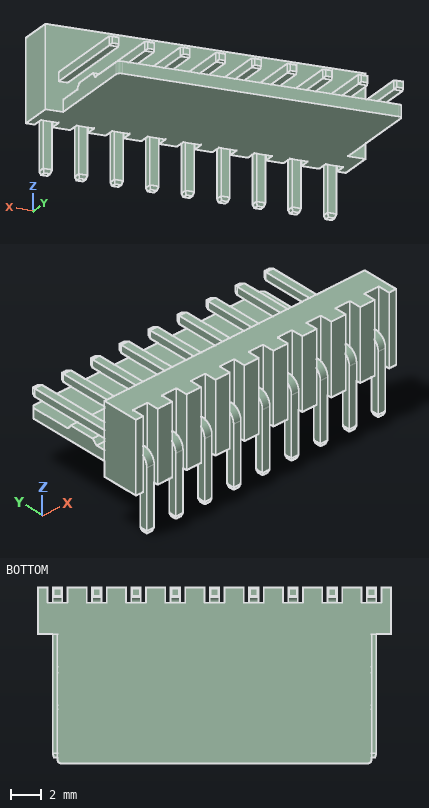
import cadquery as cq
import math

pin_count = 9
housing_length = 22.85
pitch = housing_length / pin_count
housing_depth = 3.02
housing_height = 5.88

groove_width = pitch / 2
groove_depth = 0.98

pin_size = 0.65
pin_axis_height = 2.38
pin_back_y = 11.02
pin_drop = 3.43
bend_outer_radius = 0.94
bend_inner_radius = bend_outer_radius - pin_size
tip_length = 0.27
tip_inset = 0.1

tongue_length = 20.35
tongue_back_y = 11.4
tongue_thickness = 0.85
tongue_corner_radius = 0.3
ridge_top = 1.21
ridge_front_y = 5.15
ridge_back_y = 7.89
ridge_front_run = ridge_top - tongue_thickness
ridge_back_run = 0.27

pin_positions = [(i - (pin_count - 1) / 2) * pitch for i in range(pin_count)]


def make_housing():
    """Upright block with a full-height groove in front of each pin."""
    housing = cq.Workplane("XY").box(
        housing_length, housing_depth, housing_height, centered=(True, False, False)
    )
    grooves = (
        cq.Workplane("XY")
        .pushPoints([(x, groove_depth / 2) for x in pin_positions])
        .rect(groove_width, groove_depth)
        .extrude(housing_height)
    )
    return housing.cut(grooves)


def make_tongue():
    """Flat plate with rounded rear corners and a sloped ridge on top."""
    plate = (
        cq.Workplane("XY")
        .box(tongue_length, tongue_back_y - groove_depth, tongue_thickness, centered=(True, False, False))
        .translate((0, groove_depth, 0))
        .edges("|Z and >Y")
        .fillet(tongue_corner_radius)
    )
    ridge = (
        cq.Workplane("YZ")
        .moveTo(ridge_front_y, tongue_thickness)
        .lineTo(ridge_front_y + ridge_front_run, ridge_top)
        .lineTo(ridge_back_y - ridge_back_run, ridge_top)
        .lineTo(ridge_back_y, tongue_thickness)
        .close()
        .extrude(tongue_length / 2, both=True)
    )
    return plate.union(ridge)


def make_tip(plane):
    """Tapered pin end that narrows along the normal of the given plane."""
    end_size = pin_size - 2 * tip_inset
    return (
        cq.Workplane(plane)
        .rect(pin_size, pin_size)
        .workplane(offset=tip_length)
        .rect(end_size, end_size)
        .loft(ruled=True)
    )


def make_pin():
    """Right-angle pin centred on x = 0: horizontal leg, round bend, vertical leg."""
    top = pin_axis_height + pin_size / 2
    underside = top - pin_size
    bend_centre_z = top - bend_outer_radius
    back_shoulder = pin_back_y - tip_length
    low_shoulder = tip_length - pin_drop
    diagonal = math.sqrt(0.5)

    shank = (
        cq.Workplane("YZ")
        .moveTo(back_shoulder, top)
        .lineTo(bend_outer_radius, top)
        .threePointArc(
            (bend_outer_radius * (1 - diagonal), bend_centre_z + bend_outer_radius * diagonal),
            (0, bend_centre_z),
        )
        .lineTo(0, low_shoulder)
        .lineTo(pin_size, low_shoulder)
        .lineTo(pin_size, bend_centre_z)
        .threePointArc(
            (bend_outer_radius - bend_inner_radius * diagonal, bend_centre_z + bend_inner_radius * diagonal),
            (bend_outer_radius, underside),
        )
        .lineTo(back_shoulder, underside)
        .close()
        .extrude(pin_size / 2, both=True)
    )
    back_tip = make_tip(cq.Plane((0, back_shoulder, pin_axis_height), (1, 0, 0), (0, 1, 0)))
    low_tip = make_tip(cq.Plane((0, pin_size / 2, low_shoulder), (1, 0, 0), (0, 0, -1)))
    return shank.union(back_tip).union(low_tip)


result = make_housing().union(make_tongue())
pin = make_pin()
for x in pin_positions:
    result = result.union(pin.translate((x, 0, 0)))